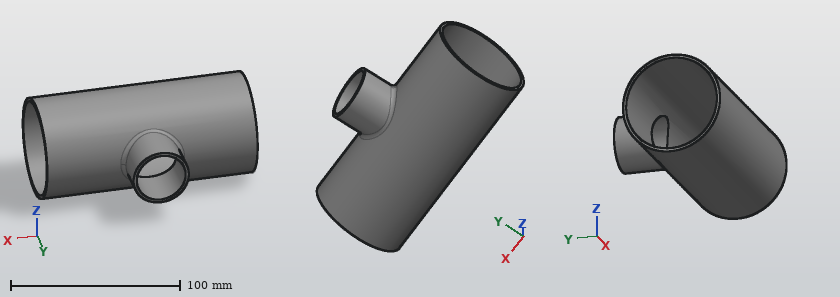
import cadquery as cq

run_length = 128.0
run_outer_diameter = 60.3
run_bore_diameter = 56.3

branch_outer_diameter = 33.7
branch_bore_diameter = 29.7
overall_depth = 81.2
branch_reach = overall_depth - run_outer_diameter / 2

junction_fillet = 2.5


def run_cylinder(diameter):
    """Cylinder along X over the full length of the run."""
    return cq.Workplane("YZ").circle(diameter / 2).extrude(run_length / 2, both=True)


def branch_cylinder(diameter):
    """Cylinder along +Y from the run axis to the branch end."""
    return cq.Workplane("XZ").circle(diameter / 2).extrude(-branch_reach)


def junction_edges(body):
    """Saddle-shaped edges where the outer skins of branch and run intersect."""
    margin = 1.3
    reach = branch_outer_diameter / 2 + margin
    near_branch = cq.selectors.BoxSelector(
        (-reach, 0, -reach),
        (reach, run_outer_diameter / 2 + margin, reach),
        boundingbox=True,
    )
    return body.edges(near_branch)


outer_body = run_cylinder(run_outer_diameter).union(branch_cylinder(branch_outer_diameter))
outer_body = junction_edges(outer_body).fillet(junction_fillet)

result = outer_body.cut(run_cylinder(run_bore_diameter)).cut(branch_cylinder(branch_bore_diameter))